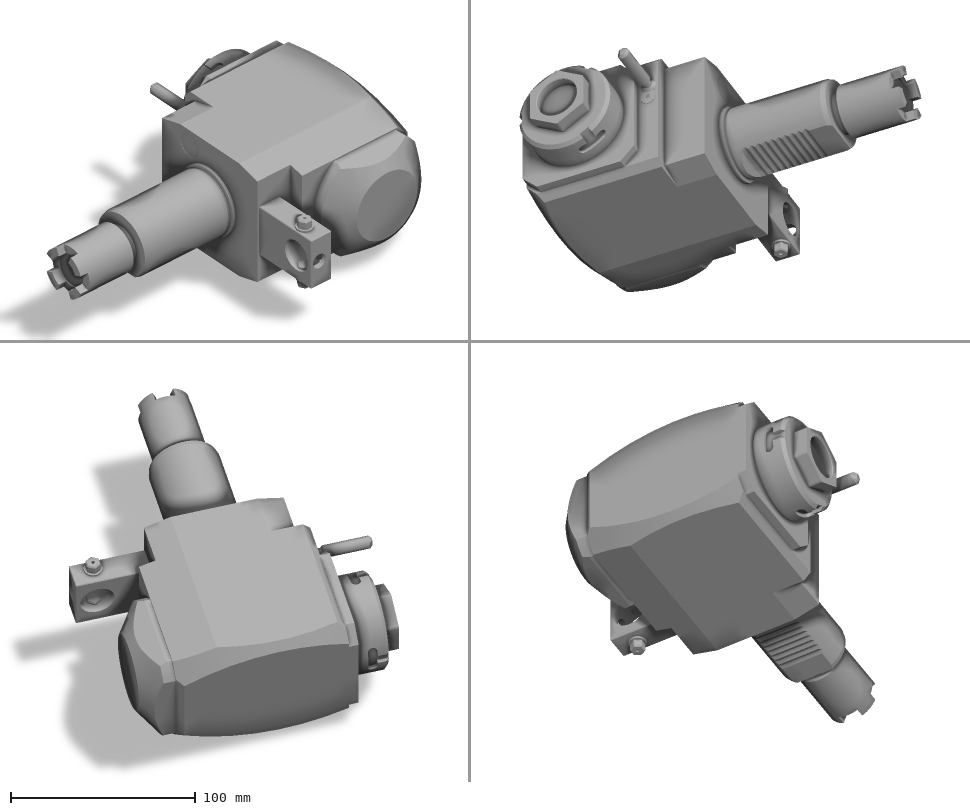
import cadquery as cq
import math


BACK_Y = 103.0
HEIGHT = 75.0
HALF_HEIGHT = HEIGHT / 2
HEAD_LEFT = -47.4
HEAD_RIGHT = 48.8
HEAD_FRONT_Y = 24.0
HEAD_CHAMFER = 4.2
BACK_CORNER_CHAMFER = 3.7
BLOCK_LEFT = -39.0
BLOCK_RIGHT = 39.5
TAPER_TAN = math.tan(math.radians(15))
LEFT_TAPER_X = -24.0
RIGHT_TAPER_X = 24.5
CROWN_X = -9.4
CROWN_RADIUS = 128.9
CROWN_CHAMFER = 4.4
CROWN_LENGTH = 31.2
PLUG_X = -16.0
PLUG_Z = 27.9
PLUG_DIAMETER = 15.2
PLUG_RECESS = 0.2

SPINDLE_Y = 69.0
PLATE_LEFT = -52.8
PLATE_FRONT_Y = 36.0
PLATE_HALF_HEIGHT = 33.5
PLATE_FRONT_CHAMFER = 8.1
PLATE_BACK_CHAMFER = 8.7
NUT_LEFT = -72.1
NUT_RADIUS = 27.5
NUT_CHAMFER = 1.9
NUT_NECK_RADIUS = 26.8
NUT_NECK_LENGTH = 0.8
NOTCH_FLOOR_RADIUS = 25.0
NOTCH_WIDTH = 5.8
NOTCH_ANGLES = (0, 120, 240)
SLOT_LEFT = -65.5
SLOT_WIDTH = 5.5
SLOT_LENGTH = 18.0
HEX_LEFT = -80.5
HEX_FLATS = 32.2
HEX_EDGE_CHAMFER = 0.6
HEX_BORE_DIAMETER = 24.0
HEX_BORE_DEPTH = 6.2
HEX_BORE_CHAMFER = 0.5

PIN_Y = 29.7
PIN_Z = 17.7
PIN_RADIUS = 3.5
PIN_CHAMFER = 1.5
PIN_BEVEL_LENGTH = 2.7
PIN_BEVEL_DEPTH = 2.5
PIN_SHOULDER_CHAMFER = 1.0
PIN_RIGHT = -52.0
PIN_NECK_RADIUS = 2.5
PIN_FLARE_LEFT = -48.8
PIN_FLARE_RADIUS = 4.4
SIDE_PLUG_Z = 10.2
SIDE_PLUG_DIAMETER = 9.1
SIDE_PLUG_HOLE = 2.7
SIDE_PLUG_HEIGHT = 0.5

CAP_RADIUS = 37.5
CAP_CYLINDER_RIGHT = 55.7
CAP_RIGHT = 67.1
CAP_END_RADIUS = 21.6
CAP_BACK_Y = 99.1
CAP_HALF_HEIGHT = 30.1

RIM_RADIUS = 21.6
RIM_LENGTH = 1.9
RIM_END = 2.5
SHANK_RADIUS = 20.2
GROOVE_RADIUS = 19.7
GROOVE_END = 4.0
SHANK_CHAMFER_START = 60.3
SHANK_END_RADIUS = 19.3
SHANK_END = 63.2
NECK_RADIUS = 12.0
NECK_END = 67.1
COUPLING_RADIUS = 15.2
COUPLING_CHAMFER = 0.6
COUPLING_END = 104.8
JAW_DEPTH = 5.2
JAW_BORE_RADIUS = 10.2
JAW_BORE_DEPTH = 6.0
JAW_COUNT = 4
JAW_GAP_ANGLE = 45

FLAT_Z = -16.0
RUNOUT_START = 5.0
RUNOUT_END = 9.4
RACK_LENGTH = 40.5
TOOTH_COUNT = 10
TOOTH_PITCH = RACK_LENGTH / TOOTH_COUNT
TOOTH_DEPTH = 1.0

ARM_RIGHT = 82.0
ARM_FRONT_Y = 1.5
ARM_BACK_Y = 16.2
ARM_HALF_HEIGHT = 16.0
ARM_CHAMFER = 0.5
ARM_BORE_X = 70.0
ARM_BORE_DIAMETER = 19.1
OUTLET_DIAMETER = 9.1
NOZZLE_Y = 7.3
NOZZLE_FLANGE_DIAMETER = 10.2
NOZZLE_FLANGE_HEIGHT = 1.2
NOZZLE_FLATS = 7.5
NOZZLE_INNER_Z = 8.0
NOZZLE_OUTER_Z = 22.2
NOZZLE_EDGE_CHAMFER = 0.31
NOZZLE_END_CHAMFER = 0.6
NOZZLE_HOLE_DEPTH = 4.2
NOZZLE_HOLE = 1.9


def box(x0, x1, y0, y1, z0, z1):
    """Axis-aligned box between opposite corners."""
    return cq.Workplane("XY").box(x1 - x0, y1 - y0, z1 - z0, centered=False).translate((x0, y0, z0))


def turned_along_x(points, y, z):
    """Solid turned about an X-parallel axis from (x, radius) points."""
    profile = cq.Workplane("XY").polyline(points).close()
    return profile.revolve(360, (0, 0, 0), (1, 0, 0)).translate((0, y, z))


def side_plane(x):
    """Workplane normal to X whose local axes are Y and Z."""
    return cq.Workplane("YZ", origin=(x, 0, 0))


def taper_z(x):
    """Half height of the body on its right-hand taper."""
    return HALF_HEIGHT - (x - RIGHT_TAPER_X) * TAPER_TAN


def prism(half_outline, y0, y1):
    """Prism along Y with an outline mirrored about Z = 0."""
    mirrored = [(x, -z) for x, z in reversed(half_outline)]
    outline = cq.Workplane("XZ", origin=(0, y1, 0)).polyline(half_outline + mirrored).close()
    return outline.extrude(y1 - y0)


def crown_cone():
    """Large cone about Y that chamfers the back edge of the upper face."""
    front_radius = CROWN_RADIUS + CROWN_LENGTH
    axis_z = HALF_HEIGHT - CROWN_CHAMFER - CROWN_RADIUS
    cone = (
        cq.Workplane("XY")
        .polyline([(0, BACK_Y), (CROWN_RADIUS, BACK_Y), (front_radius, BACK_Y - CROWN_LENGTH),
                   (front_radius, 0), (0, 0)])
        .close()
        .revolve(360, (0, 0, 0), (0, 1, 0))
    )
    return cone.translate((CROWN_X, 0, axis_z))


def make_body():
    """Tapered head with a crowned back edge, and the narrower block in front of it."""
    head = prism(
        [(HEAD_LEFT, HALF_HEIGHT - HEAD_CHAMFER), (HEAD_LEFT + HEAD_CHAMFER, HALF_HEIGHT),
         (RIGHT_TAPER_X, HALF_HEIGHT), (HEAD_RIGHT, taper_z(HEAD_RIGHT))],
        HEAD_FRONT_Y, BACK_Y,
    )
    head = head.edges("|Z and >X and >Y").chamfer(BACK_CORNER_CHAMFER)
    upper_cone = crown_cone()
    head = head.intersect(upper_cone).intersect(upper_cone.mirror("XY"))
    block_left_z = HALF_HEIGHT - (LEFT_TAPER_X - BLOCK_LEFT) * TAPER_TAN
    block = prism(
        [(BLOCK_LEFT, block_left_z), (LEFT_TAPER_X, HALF_HEIGHT),
         (RIGHT_TAPER_X, HALF_HEIGHT), (BLOCK_RIGHT, taper_z(BLOCK_RIGHT))],
        0, HEAD_FRONT_Y,
    )
    recess = cq.Workplane("XZ").center(PLUG_X, PLUG_Z).circle(PLUG_DIAMETER / 2).extrude(-PLUG_RECESS)
    return head.union(block).cut(recess)


def make_plate():
    plate = box(PLATE_LEFT, HEAD_LEFT, PLATE_FRONT_Y, BACK_Y, -PLATE_HALF_HEIGHT, PLATE_HALF_HEIGHT)
    plate = plate.edges("|X and <Y").chamfer(PLATE_FRONT_CHAMFER)
    return plate.edges("|X and >Y").chamfer(PLATE_BACK_CHAMFER)


def make_nut():
    """Clamping nut with wrench notches, each opening into a tangential slot."""
    neck_left = PLATE_LEFT - NUT_NECK_LENGTH
    nut = turned_along_x(
        [(NUT_LEFT, 0), (NUT_LEFT, NUT_RADIUS - NUT_CHAMFER), (NUT_LEFT + NUT_CHAMFER, NUT_RADIUS),
         (neck_left, NUT_RADIUS), (neck_left, NUT_NECK_RADIUS),
         (PLATE_LEFT, NUT_NECK_RADIUS), (PLATE_LEFT, 0)],
        SPINDLE_Y, 0,
    )
    slot_x = SLOT_LEFT + SLOT_WIDTH / 2
    floor_y = SPINDLE_Y + NOTCH_FLOOR_RADIUS
    notch = box(NUT_LEFT, slot_x, floor_y, SPINDLE_Y + NUT_RADIUS, -NOTCH_WIDTH / 2, NOTCH_WIDTH / 2)
    core_outline = side_plane(NUT_LEFT).center(SPINDLE_Y, 0).circle(NOTCH_FLOOR_RADIUS)
    core = core_outline.extrude(PLATE_LEFT - NUT_LEFT)
    slot = (
        cq.Workplane("XZ", origin=(slot_x, SPINDLE_Y, 0))
        .slot2D(SLOT_LENGTH, SLOT_WIDTH, 90)
        .extrude(-NUT_RADIUS)
        .cut(core)
    )
    cutter = notch.union(slot)
    for angle in NOTCH_ANGLES:
        nut = nut.cut(cutter.rotate((0, SPINDLE_Y, 0), (1, SPINDLE_Y, 0), angle))
    return nut


def make_hex():
    """Bored hexagon with two flats facing along Y."""
    corners = HEX_FLATS / math.cos(math.radians(30))
    blank = (
        side_plane(HEX_LEFT)
        .polygon(6, corners)
        .extrude(NUT_LEFT - HEX_LEFT)
        .rotate((0, 0, 0), (1, 0, 0), 90)
        .edges("|X")
        .chamfer(HEX_EDGE_CHAMFER)
    )
    bore = side_plane(HEX_LEFT).circle(HEX_BORE_DIAMETER / 2).extrude(HEX_BORE_DEPTH)
    mouth = (
        side_plane(HEX_LEFT)
        .circle(HEX_BORE_DIAMETER / 2 + HEX_BORE_CHAMFER)
        .workplane(offset=HEX_BORE_CHAMFER)
        .circle(HEX_BORE_DIAMETER / 2)
        .loft()
    )
    return blank.cut(bore).cut(mouth).translate((0, SPINDLE_Y, 0))


def make_pin():
    """Necked pin whose free end is bevelled on its +Y side."""
    pin = turned_along_x(
        [(HEX_LEFT, 0), (HEX_LEFT, PIN_RADIUS - PIN_CHAMFER), (HEX_LEFT + PIN_CHAMFER, PIN_RADIUS),
         (PIN_RIGHT - PIN_SHOULDER_CHAMFER, PIN_RADIUS),
         (PIN_RIGHT, PIN_NECK_RADIUS), (PIN_FLARE_LEFT, PIN_NECK_RADIUS),
         (HEAD_LEFT, PIN_FLARE_RADIUS), (HEAD_LEFT, 0)],
        PIN_Y, PIN_Z,
    )
    top_y = PIN_Y + PIN_RADIUS
    bevel = (
        cq.Workplane("XY", origin=(HEX_LEFT, top_y, PIN_Z))
        .polyline([(0, 0), (PIN_BEVEL_LENGTH, 0), (0, -PIN_BEVEL_DEPTH)])
        .close()
        .extrude(PIN_RADIUS, both=True)
    )
    return pin.cut(bevel)


def make_side_plug():
    """Slightly raised disc with a small centre hole beside the pin."""
    return (
        side_plane(HEAD_LEFT)
        .center(PIN_Y, SIDE_PLUG_Z)
        .circle(SIDE_PLUG_DIAMETER / 2)
        .circle(SIDE_PLUG_HOLE / 2)
        .extrude(-SIDE_PLUG_HEIGHT)
    )


def make_cap():
    """Conical rear cap trimmed flat to follow the body."""
    cap = turned_along_x(
        [(HEAD_RIGHT, 0), (HEAD_RIGHT, CAP_RADIUS), (CAP_CYLINDER_RIGHT, CAP_RADIUS),
         (CAP_RIGHT, CAP_END_RADIUS), (CAP_RIGHT, 0)],
        SPINDLE_Y, 0,
    )
    flat_end = RIGHT_TAPER_X + (HALF_HEIGHT - CAP_HALF_HEIGHT) / TAPER_TAN
    envelope = prism(
        [(HEAD_RIGHT, CAP_HALF_HEIGHT), (flat_end, CAP_HALF_HEIGHT), (CAP_RIGHT, taper_z(CAP_RIGHT))],
        SPINDLE_Y - CAP_RADIUS, CAP_BACK_Y,
    )
    return cap.intersect(envelope)


def rack_cutter():
    """Flat below the shank with a row of V grooves, running out at the rim."""
    depth_z = -RIM_RADIUS
    points = [(-RUNOUT_START, depth_z), (-RUNOUT_END, FLAT_Z)]
    for index in range(TOOTH_COUNT):
        start = RUNOUT_END + index * TOOTH_PITCH
        points += [(-start - TOOTH_PITCH / 2, FLAT_Z + TOOTH_DEPTH), (-start - TOOTH_PITCH, FLAT_Z)]
    points += [(-SHANK_END, FLAT_Z), (-SHANK_END, depth_z)]
    return side_plane(-RIM_RADIUS).polyline(points).close().extrude(2 * RIM_RADIUS)


def jaw_gap():
    """Radial-sided gap between two coupling jaws."""
    reach = 2 * COUPLING_RADIUS
    half_width = reach * math.tan(math.radians(JAW_GAP_ANGLE / 2))
    return (
        cq.Workplane("XZ", origin=(0, JAW_DEPTH - COUPLING_END, 0))
        .polyline([(0, 0), (reach, half_width), (reach, -half_width)])
        .close()
        .extrude(JAW_DEPTH)
    )


def make_shank():
    """Stepped round shank with a rack flat and a jaw coupling at its end."""
    shank = (
        cq.Workplane("XY")
        .polyline([
            (0, 0), (RIM_RADIUS, 0), (RIM_RADIUS, -RIM_LENGTH), (GROOVE_RADIUS, -RIM_END),
            (GROOVE_RADIUS, -GROOVE_END), (SHANK_RADIUS, -GROOVE_END), (SHANK_RADIUS, -SHANK_CHAMFER_START),
            (SHANK_END_RADIUS, -SHANK_END), (NECK_RADIUS, -SHANK_END), (NECK_RADIUS, -NECK_END),
            (COUPLING_RADIUS - COUPLING_CHAMFER, -NECK_END),
            (COUPLING_RADIUS, -NECK_END - COUPLING_CHAMFER),
            (COUPLING_RADIUS, -COUPLING_END), (0, -COUPLING_END),
        ])
        .close()
        .revolve(360, (0, 0, 0), (0, 1, 0))
    )
    bore_floor = cq.Workplane("XZ", origin=(0, JAW_BORE_DEPTH - COUPLING_END, 0))
    bore = bore_floor.circle(JAW_BORE_RADIUS).extrude(JAW_BORE_DEPTH)
    shank = shank.cut(rack_cutter()).cut(bore)
    for index in range(JAW_COUNT):
        shank = shank.cut(jaw_gap().rotate((0, 0, 0), (0, 1, 0), index * 360 / JAW_COUNT))
    return shank


def make_nozzle():
    """Flanged hexagonal nozzle reaching from inside the arm bore to above the arm."""
    flange = (
        cq.Workplane("XY", origin=(0, 0, ARM_HALF_HEIGHT))
        .circle(NOZZLE_FLANGE_DIAMETER / 2)
        .extrude(NOZZLE_FLANGE_HEIGHT)
    )
    corners = NOZZLE_FLATS / math.cos(math.radians(30))
    bar = (
        cq.Workplane("XY", origin=(0, 0, NOZZLE_INNER_Z))
        .polygon(6, corners)
        .extrude(NOZZLE_OUTER_Z - NOZZLE_INNER_Z)
        .rotate((0, 0, 0), (0, 0, 1), 90)
        .edges("|Z").chamfer(NOZZLE_EDGE_CHAMFER)
        .faces("<Z or >Z").chamfer(NOZZLE_END_CHAMFER)
        .faces(">Z").workplane()
        .circle(NOZZLE_HOLE / 2)
        .cutBlind(-NOZZLE_HOLE_DEPTH)
    )
    return bar.union(flange).translate((ARM_BORE_X, NOZZLE_Y, 0))


def make_arm():
    """Bored side arm with a nozzle above and below and an outlet at its end."""
    arm = box(BLOCK_RIGHT, ARM_RIGHT, ARM_FRONT_Y, ARM_BACK_Y, -ARM_HALF_HEIGHT, ARM_HALF_HEIGHT)
    arm = arm.edges("|X or >X").chamfer(ARM_CHAMFER)
    bore = (
        cq.Workplane("XZ", origin=(ARM_BORE_X, ARM_BACK_Y, 0))
        .circle(ARM_BORE_DIAMETER / 2)
        .extrude(ARM_BACK_Y - ARM_FRONT_Y)
    )
    outlet = (
        side_plane(ARM_BORE_X)
        .center(NOZZLE_Y, 0)
        .circle(OUTLET_DIAMETER / 2)
        .extrude(ARM_RIGHT - ARM_BORE_X)
    )
    nozzle = make_nozzle()
    return arm.cut(bore).cut(outlet).union(nozzle).union(nozzle.mirror("XY"))


components = (
    make_plate(), make_nut(), make_hex(), make_pin(), make_side_plug(),
    make_cap(), make_shank(), make_arm(),
)
result = make_body()
for component in components:
    result = result.union(component)